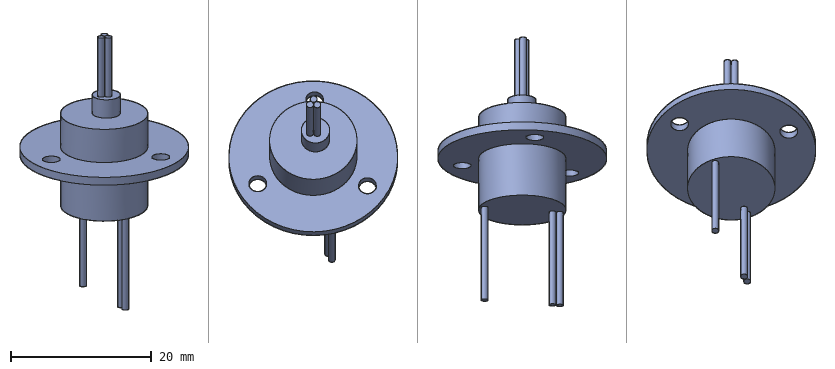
import cadquery as cq
import math

body_diameter = 12.4
body_height = 14.0
flange_diameter = 24.0
flange_thickness = 1.2
flange_bottom = 7.75

hole_diameter = 2.5
hole_circle_radius = 9.0
hole_angles = (30, 150, 270)

collar_diameter = 4.0
collar_height = 2.8
collar_offset_y = 0.35

wire_diameter = 1.0
upper_wire_length = 9.0
upper_wire_spacing = 1.05
lower_wire_length = 14.0
outer_lead_x = 5.45
inner_lead_x = 4.38

triangle_height = upper_wire_spacing * math.sqrt(3) / 2
upper_wire_places = (
    (-upper_wire_spacing / 2, collar_offset_y),
    (upper_wire_spacing / 2, collar_offset_y),
    (0, collar_offset_y - triangle_height),
)
lower_wire_places = ((-outer_lead_x, 0), (inner_lead_x, 0), (outer_lead_x, 0))


def cylinders(places, diameter, bottom, height):
    """Upright cylinders of one size at the given XY places."""
    return (
        cq.Workplane("XY", origin=(0, 0, bottom))
        .pushPoints(places)
        .circle(diameter / 2)
        .extrude(height)
    )


def make_flange():
    """Round flange with its mounting holes."""
    disc = cylinders([(0, 0)], flange_diameter, flange_bottom, flange_thickness)
    hole_places = [
        (
            hole_circle_radius * math.cos(math.radians(angle)),
            hole_circle_radius * math.sin(math.radians(angle)),
        )
        for angle in hole_angles
    ]
    holes = cylinders(hole_places, hole_diameter, flange_bottom, flange_thickness)
    return disc.cut(holes)


body = cylinders([(0, 0)], body_diameter, 0, body_height)
collar = cylinders([(0, collar_offset_y)], collar_diameter, body_height, collar_height)
collar_top = body_height + collar_height
upper_wires = cylinders(upper_wire_places, wire_diameter, collar_top, upper_wire_length)
lower_wires = cylinders(lower_wire_places, wire_diameter, -lower_wire_length, lower_wire_length)

result = body.union(make_flange()).union(collar).union(upper_wires).union(lower_wires)